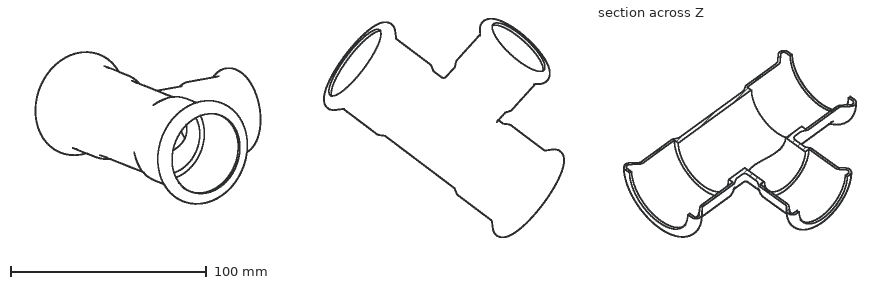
import cadquery as cq
import math

run_length = 118.0
branch_reach = 60.0

run_rim_radius = 27.0
run_socket_radius = 45.0 / 2
run_tube_radius = 41.4 / 2
branch_rim_radius = 22.36
branch_socket_radius = 38.0 / 2
branch_tube_radius = 34.8 / 2

run_socket_length = 32.5
branch_socket_length = 27.6

run_bead_slope = math.radians(43)
branch_bead_slope = math.radians(45)

bead_radius = 3.1
step_slope = math.radians(30)
bend_radius = 2.0
socket_wall = 1.5
tube_wall = 2.6
saddle_fillet = 1.8

select_margin = 0.1


def revolve_end(
    mouth, bead_center, bead, bead_slope, socket, tube, socket_length, step_length, reach, bend_radii
):
    """Solid of revolution about Z, from the mouth at Z = 0 to the tube end at Z = reach.

    `mouth` lists the (radius, height) points before the bead, `bead` is the radius of the bead
    section, and `bend_radii` round the foot of the bead, then the start and the end of the step.
    """
    flank_radius = bead_center + bead * math.cos(bead_slope)
    flank_start = bead_radius + bead * math.sin(bead_slope)
    flank_end = flank_start + (flank_radius - socket) / math.tan(bead_slope)
    step_end = socket_length + step_length
    arc_middle = (bead_slope - math.pi / 2) / 2

    solid = (
        cq.Workplane("XZ")
        .polyline([(0, 0)] + mouth + [(bead_center, bead_radius - bead)])
        .threePointArc(
            (bead_center + bead * math.cos(arc_middle), bead_radius + bead * math.sin(arc_middle)),
            (flank_radius, flank_start),
        )
        .lineTo(socket, flank_end)
        .lineTo(socket, socket_length)
        .lineTo(tube, step_end)
        .lineTo(tube, reach)
        .lineTo(0, reach)
        .close()
        .revolve(360, (0, 0, 0), (0, 1, 0))
    )
    for height, radius in zip((flank_end, socket_length, step_end), bend_radii):
        bend = cq.selectors.BoxSelector(
            (-flank_radius, -flank_radius, height - select_margin),
            (flank_radius, flank_radius, height + select_margin),
            boundingbox=True,
        )
        solid = solid.edges(bend).fillet(radius)
    return solid


def end_body(rim_radius, bead_slope, socket_radius, tube_radius, socket_length, reach):
    """Outer shape of an end, with a rolled bead at its mouth."""
    step_length = (socket_radius - tube_radius) / math.tan(step_slope)
    return revolve_end(
        [],
        rim_radius - bead_radius,
        bead_radius,
        bead_slope,
        socket_radius,
        tube_radius,
        socket_length,
        step_length,
        reach,
        [bend_radius, bend_radius, bend_radius],
    )


def end_bore(rim_radius, bead_slope, socket_radius, tube_radius, socket_length, reach):
    """Cavity of an end: lip opening, seal groove inside the bead, socket and narrower tube bore."""
    socket_bore = socket_radius - socket_wall
    return revolve_end(
        [(socket_bore, 0), (socket_bore, socket_wall)],
        rim_radius - bead_radius,
        bead_radius - socket_wall,
        bead_slope,
        socket_bore,
        tube_radius - tube_wall,
        socket_length,
        0,
        reach,
        [bend_radius + socket_wall],
    )


def on_run(end, side):
    """Lay an end along X with its mouth at the given side (-1 or 1)."""
    return end.rotate((0, 0, 0), (0, 1, 0), -90 * side).translate((side * run_length / 2, 0, 0))


def on_branch(end):
    """Lay an end along Y with its mouth facing +Y."""
    return end.rotate((0, 0, 0), (1, 0, 0), 90).translate((0, branch_reach, 0))


run_sizes = (
    run_rim_radius,
    run_bead_slope,
    run_socket_radius,
    run_tube_radius,
    run_socket_length,
    run_length / 2,
)
branch_sizes = (
    branch_rim_radius,
    branch_bead_slope,
    branch_socket_radius,
    branch_tube_radius,
    branch_socket_length,
    branch_reach,
)
run_end = end_body(*run_sizes)
branch_end = end_body(*branch_sizes)
run = on_run(run_end, -1).union(on_run(run_end, 1))
body = run.union(on_branch(branch_end))

saddle = cq.selectors.BoxSelector(
    (-branch_tube_radius - select_margin, select_margin, -branch_tube_radius - select_margin),
    (
        branch_tube_radius + select_margin,
        run_tube_radius + select_margin,
        branch_tube_radius + select_margin,
    ),
    boundingbox=True,
)
body = body.edges(saddle).fillet(saddle_fillet)

run_bore = end_bore(*run_sizes)
branch_bore = end_bore(*branch_sizes)
result = body.cut(on_run(run_bore, -1)).cut(on_run(run_bore, 1)).cut(on_branch(branch_bore))